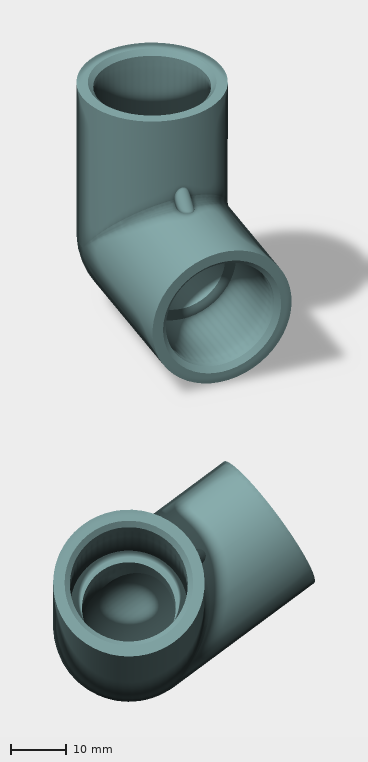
import cadquery as cq

overall_length = 45.75
outer_diameter = 27.5
outer_radius = outer_diameter / 2
arm_length = overall_length - outer_radius

passage_diameter = 17.0
socket_diameter = 21.4
socket_depth = 18.3
mouth_chamfer = 0.95

corner_fillet = 1.35
rib_width = 3.0
rib_leg = 3.5


def elbow(diameter, length):
    """Two round bars at right angles, joined by a ball at the corner."""
    upright = cq.Workplane("XY").circle(diameter / 2).extrude(length)
    level = cq.Workplane("YZ").circle(diameter / 2).extrude(length)
    ball = cq.Workplane("XY").sphere(diameter / 2)
    return upright.union(level).union(ball)


def body():
    """Solid elbow with a fillet along the inside seam of the arms."""
    return elbow(outer_diameter, arm_length).edges("%ELLIPSE").fillet(corner_fillet)


def corner_rib():
    """Diagonal web across the inside corner, with a fully rounded crest."""
    rib_radius = rib_width / 2
    crest_height = (2 * outer_radius + rib_leg) / 2**0.5
    middle = cq.Plane(origin=(0, 0, 0), xDir=(0, 1, 0), normal=(1, 0, -1))
    shoulder_height = crest_height - rib_radius
    rib = (
        cq.Workplane(middle)
        .moveTo(-rib_radius, outer_radius)
        .lineTo(rib_radius, outer_radius)
        .lineTo(rib_radius, shoulder_height)
        .threePointArc((0, crest_height), (-rib_radius, shoulder_height))
        .close()
        .extrude(outer_radius, both=True)
    )
    trim_size = outer_radius + rib_leg
    trim = cq.Workplane("XY").box(trim_size, rib_width, trim_size, centered=(False, True, False))
    return rib.intersect(trim)


def socket():
    """Cutter for the upright socket and its flared mouth."""
    socket_radius = socket_diameter / 2
    return (
        cq.Workplane("XZ")
        .moveTo(0, arm_length - socket_depth)
        .lineTo(socket_radius, arm_length - socket_depth)
        .lineTo(socket_radius, arm_length - mouth_chamfer)
        .lineTo(socket_radius + mouth_chamfer, arm_length)
        .lineTo(0, arm_length)
        .close()
        .revolve(360, (0, 0, 0), (0, 1, 0))
    )


upright_socket = socket()
level_socket = upright_socket.rotate((0, 0, 0), (0, 1, 0), 90)

result = (
    body()
    .union(corner_rib())
    .cut(elbow(passage_diameter, arm_length))
    .cut(upright_socket)
    .cut(level_socket)
)